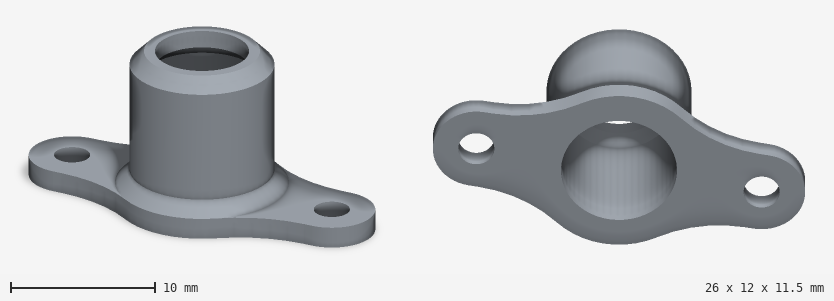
import cadquery as cq
import math

length = 26.0
flange_diameter = 12.0
ear_diameter = 6.0
flange_thickness = 1.5
neck_radius = 10.0
ear_hole_diameter = 2.5

height = 11.5
hub_diameter = 10.0
rim_diameter = 8.0
bore_diameter = 6.5

chamber_diameter = 8.0
mouth_depth = 1.25

flange_radius = flange_diameter / 2
ear_radius = ear_diameter / 2
hub_radius = hub_diameter / 2
rim_radius = rim_diameter / 2
ear_center_x = length / 2 - ear_radius
base_cone_height = flange_radius - hub_radius
rim_chamfer = hub_radius - rim_radius


def flange():
    """Disc with two ears, blended by arcs tangent to both."""
    neck_center_y = ear_radius + neck_radius
    center_distance = flange_radius + neck_radius
    neck_x = math.sqrt(center_distance**2 - neck_center_y**2)
    tangent_x = neck_x * flange_radius / center_distance
    tangent_y = neck_center_y * flange_radius / center_distance

    end_angle = math.atan2(neck_center_y, neck_x)
    middle_angle = (end_angle + math.pi / 2) / 2
    middle_x = neck_x - neck_radius * math.cos(middle_angle)
    middle_y = neck_center_y - neck_radius * math.sin(middle_angle)

    return (
        cq.Workplane("XY")
        .moveTo(ear_center_x, ear_radius)
        .lineTo(neck_x, ear_radius)
        .threePointArc((middle_x, middle_y), (tangent_x, tangent_y))
        .threePointArc((0, flange_radius), (-tangent_x, tangent_y))
        .threePointArc((-middle_x, middle_y), (-neck_x, ear_radius))
        .lineTo(-ear_center_x, ear_radius)
        .threePointArc((-length / 2, 0), (-ear_center_x, -ear_radius))
        .lineTo(-neck_x, -ear_radius)
        .threePointArc((-middle_x, -middle_y), (-tangent_x, -tangent_y))
        .threePointArc((0, -flange_radius), (tangent_x, -tangent_y))
        .threePointArc((middle_x, -middle_y), (neck_x, -ear_radius))
        .lineTo(ear_center_x, -ear_radius)
        .threePointArc((length / 2, 0), (ear_center_x, ear_radius))
        .close()
        .extrude(flange_thickness)
        .faces(">Z")
        .workplane(origin=(0, 0, flange_thickness))
        .pushPoints([(-ear_center_x, 0), (ear_center_x, 0)])
        .hole(ear_hole_diameter)
    )


def hub():
    """Solid revolved hub with a conical foot and a chamfered rim."""
    return (
        cq.Workplane("XZ")
        .moveTo(0, 0)
        .lineTo(flange_radius, 0)
        .lineTo(flange_radius, flange_thickness)
        .lineTo(hub_radius, flange_thickness + base_cone_height)
        .lineTo(hub_radius, height - rim_chamfer)
        .lineTo(rim_radius, height)
        .lineTo(0, height)
        .close()
        .revolve(360, (0, 0, 0), (0, 1, 0))
    )


def cavity():
    """Through opening: narrow mouth, 45 degree cone, then a chamber open at the bottom."""
    bore_radius = bore_diameter / 2
    chamber_radius = chamber_diameter / 2
    mouth_bottom = height - mouth_depth
    chamber_top = mouth_bottom - (chamber_radius - bore_radius)
    return (
        cq.Workplane("XZ")
        .moveTo(0, 0)
        .lineTo(chamber_radius, 0)
        .lineTo(chamber_radius, chamber_top)
        .lineTo(bore_radius, mouth_bottom)
        .lineTo(bore_radius, height)
        .lineTo(0, height)
        .close()
        .revolve(360, (0, 0, 0), (0, 1, 0))
    )


result = flange().union(hub()).cut(cavity())